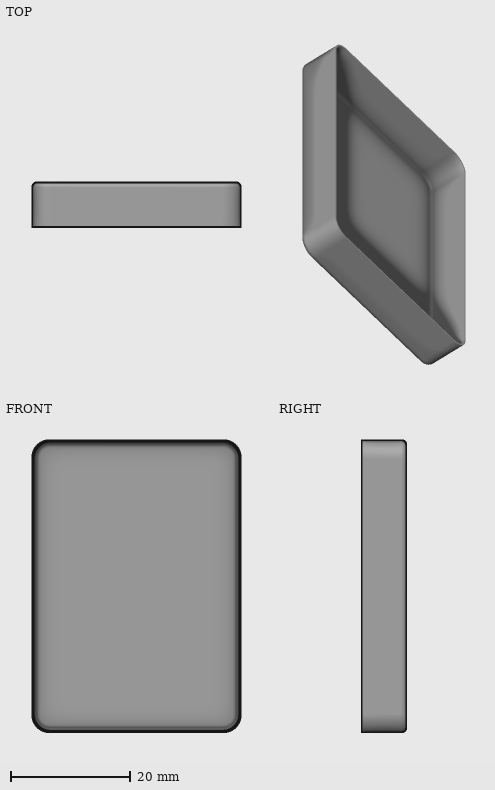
import cadquery as cq

width = 35.0
depth = 7.5
height = 49.0

wall = 0.3
corner_radius = 3.0
back_edge_radius = 0.85

inner_corner_radius = corner_radius - wall
inner_edge_radius = back_edge_radius - wall


def rounded_block(x_size, y_size, z_size, corner, back_edge):
    """Block with its front face on Y = 0, rounded corners and a rounded back rim."""
    block = cq.Workplane("XY").box(x_size, y_size, z_size, centered=(True, False, True))
    return block.edges("|Y").fillet(corner).faces(">Y").edges().fillet(back_edge)


outer_shell = rounded_block(width, depth, height, corner_radius, back_edge_radius)

cavity = rounded_block(
    width - 2 * wall,
    depth - wall,
    height - 2 * wall,
    inner_corner_radius,
    inner_edge_radius,
)

result = outer_shell.cut(cavity)